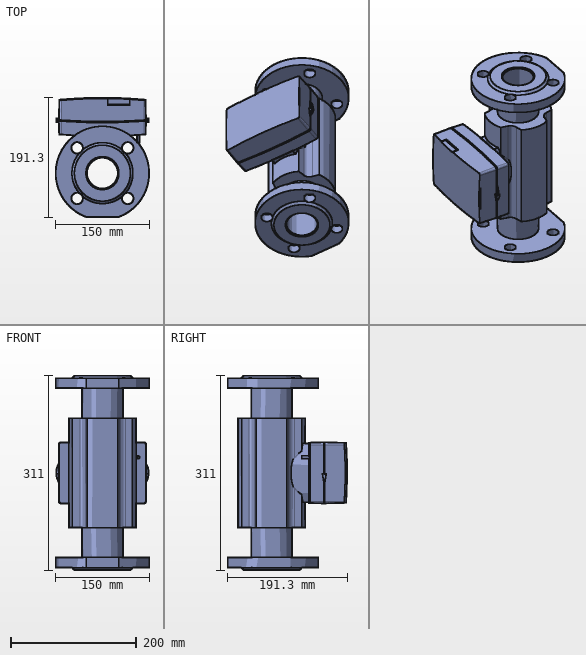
import cadquery as cq
import math

LENGTH = 311.0
FLANGE_RADIUS = 75.0
FLANGE_THICKNESS = 16.2
FLANGE_FLAT = 70.3
FACE_HEIGHT = 4.0
FACE_BASE_RADIUS = 48.8
BOLT_OFFSET = 40.5
BOLT_HOLE_RADIUS = 9.0
PIPE_RADIUS = 33.0
BORE_RADIUS = 24.5
BORE_CHAMFER = 2.0

SLEEVE_LENGTH = 175.5
SLEEVE_RADIUS = 53.8
GROOVE_HALF_WIDTH = 16.8
GROOVE_FLOOR_HALF_WIDTH = 6.8
GROOVE_FLANK_RADIUS = 44.8
GROOVE_FLOOR_RADIUS = 42.5
GROOVE_OVERCUT = 3.0

NECK_HALF_HEIGHT = 47.3
NECK_HALF_WIDTH = 29.2
NECK_END_HALF_WIDTH = 20.0

BOX_HALF_WIDTH = 70.0
BOX_HALF_HEIGHT = 49.0
BOX_CORNER = 4.0
BOX_DRAFT = 1.6
BOX_BACK_Y = 59.0
BOW = 2.8
SEAM_Y = 81.5
SEAM_WIDTH = 2.0
SEAM_DEPTH = 0.47
LID_FRONT_Y = 121.0
LID_DOME_RADIUS = 715.3

EAR_REACH = 74.0
EAR_RADIUS = 27.7
EAR_SHOULDER_Z = -1.5
EAR_SHOULDER_WIDTH = 6.2
EAR_ROOT = 1.2
EAR_INNER_X = BOX_HALF_WIDTH - EAR_ROOT

PIN_X = 57.2
PIN_Z = 25.0
PIN_RADIUS = 2.2
PIN_END_Y = 48.2

TOP_RECESS_X = (8.5, 43.5)
TOP_RECESS_LENGTH = 13.7
TOP_RECESS_DEPTH = 2.0
TOP_RECESS_SLOPE = 2.5
END_RECESS_HALF_HEIGHT = 19.5
END_RECESS_Y = 114.8
END_RECESS_DEPTH = 1.2


def upper_profile():
    """Half section of the flanged pipe from its middle to its upper end, in X and Z."""
    end = LENGTH / 2
    flange_top = end - FACE_HEIGHT
    flange_bottom = flange_top - FLANGE_THICKNESS
    return (
        cq.Workplane("XZ")
        .moveTo(BORE_RADIUS, 0)
        .lineTo(PIPE_RADIUS, 0)
        .lineTo(PIPE_RADIUS, flange_bottom)
        .lineTo(FLANGE_RADIUS, flange_bottom)
        .lineTo(FLANGE_RADIUS, flange_top)
        .lineTo(FACE_BASE_RADIUS, flange_top)
        .lineTo(FACE_BASE_RADIUS - FACE_HEIGHT, end)
        .lineTo(BORE_RADIUS + BORE_CHAMFER, end)
        .lineTo(BORE_RADIUS, end - BORE_CHAMFER)
        .close()
    )


def flanged_pipe():
    upper = upper_profile().revolve(360, (0, 0, 0), (0, 1, 0))
    pipe = upper.union(upper.mirror("XY"))
    bolt_holes = (
        cq.Workplane("XY")
        .rect(2 * BOLT_OFFSET, 2 * BOLT_OFFSET, forConstruction=True)
        .vertices()
        .circle(BOLT_HOLE_RADIUS)
        .extrude(LENGTH / 2, both=True)
    )
    beyond_flat = cq.Workplane("XY").box(LENGTH, LENGTH, 2 * LENGTH)
    beyond_flat = beyond_flat.translate((0, -FLANGE_FLAT - LENGTH / 2, 0))
    return pipe.cut(bolt_holes).cut(beyond_flat)


def sleeve_groove():
    """Lengthwise groove facing +X: flat flanks running tangent into a round floor."""
    flank_slope = (GROOVE_HALF_WIDTH - GROOVE_FLOOR_HALF_WIDTH) / (
        math.sqrt(SLEEVE_RADIUS**2 - GROOVE_HALF_WIDTH**2) - GROOVE_FLANK_RADIUS
    )
    mouth_radius = SLEEVE_RADIUS + GROOVE_OVERCUT
    mouth_half_width = GROOVE_FLOOR_HALF_WIDTH + flank_slope * (mouth_radius - GROOVE_FLANK_RADIUS)
    return (
        cq.Workplane("XY")
        .moveTo(mouth_radius, -mouth_half_width)
        .lineTo(GROOVE_FLANK_RADIUS, -GROOVE_FLOOR_HALF_WIDTH)
        .threePointArc((GROOVE_FLOOR_RADIUS, 0), (GROOVE_FLANK_RADIUS, GROOVE_FLOOR_HALF_WIDTH))
        .lineTo(mouth_radius, mouth_half_width)
        .close()
        .extrude(SLEEVE_LENGTH, both=True)
    )


def sleeve():
    body = cq.Workplane("XY").circle(SLEEVE_RADIUS).extrude(SLEEVE_LENGTH / 2, both=True)
    for angle in (45, 135, 225, 315):
        body = body.cut(sleeve_groove().rotate((0, 0, 0), (0, 0, 1), angle))
    return body


def neck():
    """Bulging block that reaches from inside the sleeve to the box."""
    return (
        cq.Workplane("XZ")
        .moveTo(-NECK_END_HALF_WIDTH, -NECK_HALF_HEIGHT)
        .lineTo(NECK_END_HALF_WIDTH, -NECK_HALF_HEIGHT)
        .threePointArc((NECK_HALF_WIDTH, 0), (NECK_END_HALF_WIDTH, NECK_HALF_HEIGHT))
        .lineTo(-NECK_END_HALF_WIDTH, NECK_HALF_HEIGHT)
        .threePointArc((-NECK_HALF_WIDTH, 0), (-NECK_END_HALF_WIDTH, -NECK_HALF_HEIGHT))
        .close()
        .extrude(-BOX_BACK_Y - BOW)
        .cut(bowed_slab(BOX_BACK_Y, LID_FRONT_Y))
    )


def make_meter_body():
    bore = cq.Workplane("XY").circle(BORE_RADIUS).extrude(LENGTH / 2, both=True)
    return flanged_pipe().union(sleeve().union(neck()).cut(bore))


def bowed_slab(back_y, front_y):
    """Block from a back face bowed toward -Y, reaching back_y at X = 0, to a flat front."""
    edge_y = back_y + BOW
    return (
        cq.Workplane("XY")
        .moveTo(-BOX_HALF_WIDTH, edge_y)
        .threePointArc((0, back_y), (BOX_HALF_WIDTH, edge_y))
        .lineTo(BOX_HALF_WIDTH, front_y)
        .lineTo(-BOX_HALF_WIDTH, front_y)
        .close()
        .extrude(BOX_HALF_HEIGHT, both=True)
    )


def drafted_block(inset, seam_y, end_y):
    """Block with rounded corners that narrows from seam_y to end_y.

    The inset moves its sides in from the sides of the box.
    """
    outline = (
        cq.Sketch()
        .rect(2 * (BOX_HALF_WIDTH - inset), 2 * (BOX_HALF_HEIGHT - inset))
        .vertices()
        .fillet(BOX_CORNER)
    )
    block = cq.Workplane("XZ", origin=(0, seam_y, 0)).placeSketch(outline)
    return block.extrude(seam_y - end_y, taper=BOX_DRAFT)


def ear():
    """Flat round-edged ear at the +X end of the seam, thickened below a shoulder."""
    center_y = SEAM_Y + BOW
    disc = (
        cq.Workplane("XZ", origin=(EAR_REACH - EAR_RADIUS, center_y, 0))
        .circle(EAR_RADIUS)
        .extrude(EAR_SHOULDER_WIDTH / 2, both=True)
    )
    tip_z = -math.sqrt(EAR_RADIUS**2 - (BOX_HALF_WIDTH - EAR_REACH + EAR_RADIUS) ** 2)
    thin = SEAM_WIDTH / 2
    thick = EAR_SHOULDER_WIDTH / 2
    half_section = [
        (0, EAR_RADIUS),
        (thin, EAR_RADIUS),
        (thin, EAR_SHOULDER_Z),
        (thick, EAR_SHOULDER_Z),
        (thin, tip_z),
        (thin, -EAR_RADIUS),
        (0, -EAR_RADIUS),
    ]
    section = (
        cq.Workplane("YZ", origin=(EAR_INNER_X, center_y, 0))
        .polyline(half_section)
        .close()
        .extrude(EAR_REACH - EAR_INNER_X)
    )
    return disc.intersect(section.union(section.mirror("XZ", (0, center_y, 0))))


def make_base():
    lip_y = SEAM_Y + SEAM_WIDTH / 2
    wall = drafted_block(0, lip_y + BOW, BOX_BACK_Y).intersect(bowed_slab(BOX_BACK_Y, LID_FRONT_Y))
    wall = wall.cut(bowed_slab(SEAM_Y - SEAM_WIDTH / 2, LID_FRONT_Y))
    lip = drafted_block(SEAM_DEPTH, lip_y + BOW, BOX_BACK_Y + BOW)
    lip = lip.cut(bowed_slab(lip_y, LID_FRONT_Y))
    pin = (
        cq.Workplane("XZ", origin=(PIN_X, PIN_END_Y, PIN_Z))
        .circle(PIN_RADIUS)
        .extrude(PIN_END_Y - BOX_BACK_Y - BOW)
    )
    return wall.union(lip).union(pin).union(ear()).union(ear().mirror("YZ"))


def lid_recesses():
    """Ramped recess in the upper side and a shallow recess in the -X end."""
    floor_z = BOX_HALF_HEIGHT - TOP_RECESS_DEPTH
    end_y = LID_FRONT_Y - TOP_RECESS_LENGTH
    top = (
        cq.Workplane("YZ", origin=(TOP_RECESS_X[0], 0, 0))
        .moveTo(end_y, BOX_HALF_HEIGHT)
        .lineTo(end_y + TOP_RECESS_SLOPE, floor_z)
        .lineTo(LID_FRONT_Y, floor_z)
        .lineTo(LID_FRONT_Y, BOX_HALF_HEIGHT)
        .close()
        .extrude(TOP_RECESS_X[1] - TOP_RECESS_X[0])
    )
    end_length = LID_FRONT_Y - END_RECESS_Y
    end = cq.Workplane("XY").box(2 * END_RECESS_DEPTH, end_length, 2 * END_RECESS_HALF_HEIGHT)
    end = end.translate((-BOX_HALF_WIDTH, END_RECESS_Y + end_length / 2, 0))
    return top.union(end)


def make_lid(base):
    back_y = SEAM_Y + SEAM_WIDTH / 2
    dome = cq.Workplane("XY").sphere(LID_DOME_RADIUS)
    dome = dome.translate((0, LID_FRONT_Y - LID_DOME_RADIUS, 0))
    lid = drafted_block(0, back_y, LID_FRONT_Y).intersect(dome)
    lid = lid.intersect(bowed_slab(back_y, LID_FRONT_Y))
    return lid.cut(lid_recesses()).cut(base)


meter_body = make_meter_body()
box_base = make_base()
box_lid = make_lid(box_base)

result = cq.Compound.makeCompound([body.solids().val() for body in (meter_body, box_base, box_lid)])